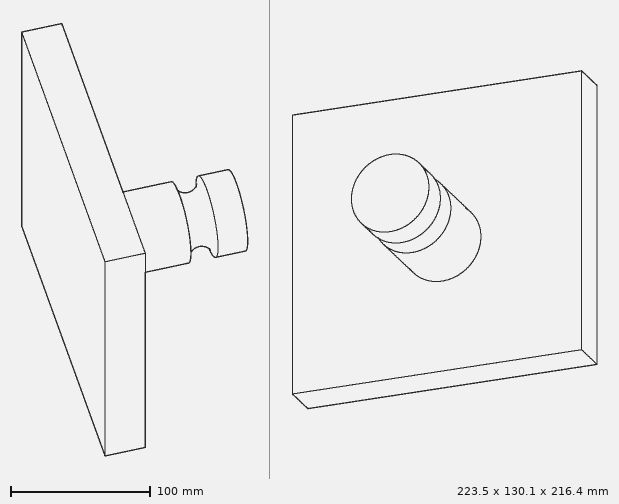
import cadquery as cq

plate_width = 223.5
plate_height = 216.4
plate_thickness = 30.0

stud_diameter = 60.0
stud_length = 100.1
stud_x = -4.0
stud_z = -8.5

groove_radius = 10.0
groove_from_plate = 68.0

stud_radius = stud_diameter / 2

plate = cq.Workplane("XY").box(
    plate_width, plate_thickness, plate_height, centered=(True, False, True)
)

stud = (
    cq.Workplane("XY")
    .lineTo(stud_radius, 0)
    .lineTo(stud_radius, groove_from_plate - groove_radius)
    .threePointArc(
        (stud_radius - groove_radius, groove_from_plate),
        (stud_radius, groove_from_plate + groove_radius),
    )
    .lineTo(stud_radius, stud_length)
    .lineTo(0, stud_length)
    .close()
    .revolve(360, (0, 0), (0, 1))
    .translate((stud_x, plate_thickness, stud_z))
)

result = plate.union(stud)